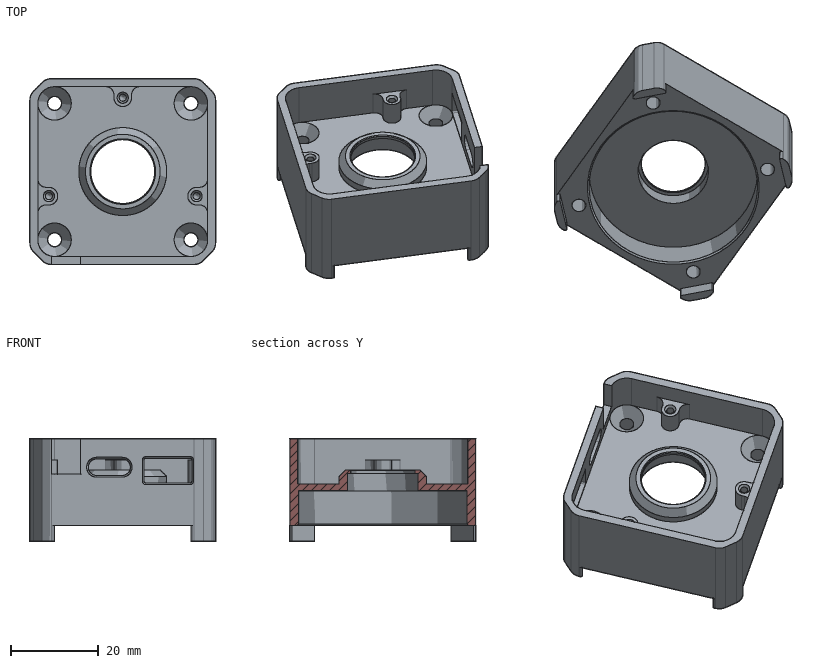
import cadquery as cq
import math

width = 42.3
height = 23.35
foot_height = 3.6
half_width = width / 2

corner_chamfer = 3.72
corner_round = 3.0

screw_offset = 15.505
screw_diameter = 3.15
countersink_diameter = 7.6
cavity_corner_radius = countersink_diameter / 2
cavity_width = 2 * (screw_offset + cavity_corner_radius)
wall = (width - cavity_width) / 2
floor_z = 13.05

collar_diameter = 20.0
collar_top_z = 16.3
collar_chamfer = 1.52
lip_diameter = 14.5
lip_height = 0.85
lip_chamfer = 0.2
bore_diameter = 16.0
recess_diameter = 38.3
recess_top_z = 11.5
recess_chamfer = 0.4

post_diameter = 4.0
post_offset = 16.8
side_post_y = -5.6
post_top_z = 18.55
post_flare_radius = 1.85
post_hole_diameter = 1.6
post_hole_chamfer = 0.45
post_hole_depth = 4.0
drill_point_angle = 118.0

opening_depth = wall + 0.85
opening_chamfer = 0.4
notch_left = -16.15
notch_right = -9.6
notch_bottom_z = 15.3
slot_x = -3.05
slot_z = 16.88
slot_length = 9.55
slot_height = 3.75
window_x = 10.3
window_z = 16.1
window_length = 10.83
window_height = 5.6
window_corner_radius = 0.35

foot_tip = 15.5
foot_inner_spacing = 51.0
foot_tip_round = 0.4
edge_tolerance = 0.005


def cylinder(diameter, bottom_z, top_z):
    return cq.Workplane("XY", origin=(0, 0, bottom_z)).circle(diameter / 2).extrude(top_z - bottom_z)


def cone(bottom_diameter, top_diameter, bottom_z, top_z):
    return (
        cq.Workplane("XY", origin=(0, 0, bottom_z))
        .circle(bottom_diameter / 2)
        .workplane(offset=top_z - bottom_z)
        .circle(top_diameter / 2)
        .loft()
    )


def turned(shape, angle):
    return shape.rotate((0, 0, 0), (0, 0, 1), angle)


def outer_prism(bottom_z, top_z):
    return (
        cq.Workplane("XY", origin=(0, 0, bottom_z))
        .rect(width, width)
        .extrude(top_z - bottom_z)
        .edges("|Z")
        .chamfer(corner_chamfer)
        .edges("|Z")
        .fillet(corner_round)
    )


def is_outer_tip_edge(edge):
    """True for the foot edges where a tip meets an outer side face."""
    centre = edge.Center()
    near, far = sorted((abs(centre.x), abs(centre.y)))
    return near < foot_tip + edge_tolerance and far > half_width - edge_tolerance


def feet():
    """One foot per corner, with a 45 degree inner face and tips rounded on the outside."""
    gap = cq.Workplane("XY").rect(2 * foot_tip, width).extrude(foot_height)
    middle = cq.Workplane("XY").rect(foot_inner_spacing, foot_inner_spacing).extrude(foot_height)
    blank = outer_prism(0, foot_height).cut(gap).cut(turned(gap, 90)).cut(turned(middle, 45))
    return blank.edges("|Z").filter(is_outer_tip_edge).fillet(foot_tip_round)


def cavity():
    return (
        cq.Workplane("XY", origin=(0, 0, floor_z))
        .rect(cavity_width, cavity_width)
        .extrude(height - floor_z)
        .edges("|Z")
        .fillet(cavity_corner_radius)
    )


def recess():
    """Round recess in the underside with a chamfered mouth."""
    mouth_diameter = recess_diameter + 2 * recess_chamfer
    mouth = cone(mouth_diameter, recess_diameter, foot_height, foot_height + recess_chamfer)
    return cylinder(recess_diameter, foot_height, recess_top_z).union(mouth)


def collar():
    return cylinder(collar_diameter, recess_top_z, collar_top_z).faces(">Z").edges().chamfer(collar_chamfer)


def collar_bore():
    """Bore narrowed at the top by a lip with a chamfered rim."""
    lip_bottom_z = collar_top_z - lip_height
    rim = cone(lip_diameter, lip_diameter + 2 * lip_chamfer, collar_top_z - lip_chamfer, collar_top_z)
    lip = cylinder(lip_diameter, lip_bottom_z, collar_top_z)
    return lip.union(rim).union(cylinder(bore_diameter, recess_top_z, lip_bottom_z))


def screw_hole():
    """Through hole with a 90 degree countersink at the cavity floor."""
    depth = (countersink_diameter - screw_diameter) / 2
    countersink = cone(screw_diameter, countersink_diameter, floor_z - depth, floor_z)
    return cylinder(screw_diameter, foot_height, floor_z).union(countersink)


def post():
    """Post against the +Y cavity wall, centred on X = 0, blending into the wall with flares."""
    radius = post_diameter / 2
    wall_y = cavity_width / 2
    back_y = wall_y + wall / 2
    flare_x = radius + post_flare_radius
    flare_y = wall_y - post_flare_radius
    reach = post_flare_radius * math.sqrt(0.5)
    return (
        cq.Workplane("XY", origin=(0, 0, floor_z))
        .moveTo(-flare_x, back_y)
        .lineTo(-flare_x, wall_y)
        .threePointArc((-flare_x + reach, flare_y + reach), (-radius, flare_y))
        .lineTo(-radius, post_offset)
        .threePointArc((0, post_offset - radius), (radius, post_offset))
        .lineTo(radius, flare_y)
        .threePointArc((flare_x - reach, flare_y + reach), (flare_x, wall_y))
        .lineTo(flare_x, back_y)
        .close()
        .extrude(post_top_z - floor_z)
    )


def post_hole():
    """Blind hole with a chamfered mouth and a drill point, for the +Y post."""
    radius = post_hole_diameter / 2
    bottom_z = post_top_z - post_hole_depth
    point_depth = radius / math.tan(math.radians(drill_point_angle / 2))
    return (
        cq.Workplane("XZ", origin=(0, post_offset, 0))
        .moveTo(0, post_top_z)
        .lineTo(radius + post_hole_chamfer, post_top_z)
        .lineTo(radius, post_top_z - post_hole_chamfer)
        .lineTo(radius, bottom_z)
        .lineTo(0, bottom_z - point_depth)
        .close()
        .revolve(360, (0, 0), (0, 1))
    )


def at_each_post(shape):
    """Copies of a +Y post shape on the +Y, -X and +X walls."""
    sides = [turned(shape, angle).translate((0, side_post_y, 0)) for angle in (90, -90)]
    return [shape] + sides


def slot_outline(margin):
    return cq.Sketch().slot(slot_length - slot_height, slot_height + 2 * margin)


def window_outline(margin):
    sketch = cq.Sketch().rect(window_length + 2 * margin, window_height + 2 * margin)
    return sketch.vertices().fillet(window_corner_radius + margin)


def wall_opening(x, z, outline):
    """Opening through the -Y wall, with its outer rim chamfered."""
    outer_face = cq.Workplane("XZ", origin=(x, -half_width, z))
    tunnel = outer_face.placeSketch(outline(0)).extrude(-opening_depth)
    inner_rim = outline(0).moved(cq.Location(cq.Vector(0, 0, -opening_chamfer)))
    rim = outer_face.placeSketch(outline(opening_chamfer), inner_rim).loft()
    return tunnel.union(rim)


def notch():
    """Open-topped notch through the -Y wall."""
    return cq.Workplane("XY").box(
        notch_right - notch_left, opening_depth, height - notch_bottom_z, centered=False
    ).translate((notch_left, -half_width, notch_bottom_z))


body = outer_prism(foot_height, height).union(feet())
body = body.cut(cavity()).cut(recess())

body = body.union(collar()).cut(collar_bore())

for placed_post in at_each_post(post()):
    body = body.union(placed_post)
for placed_hole in at_each_post(post_hole()):
    body = body.cut(placed_hole)

for x_side in (-1, 1):
    for y_side in (-1, 1):
        body = body.cut(screw_hole().translate((x_side * screw_offset, y_side * screw_offset, 0)))

body = body.cut(notch())
body = body.cut(wall_opening(slot_x, slot_z, slot_outline))
body = body.cut(wall_opening(window_x, window_z, window_outline))

result = body.solids()